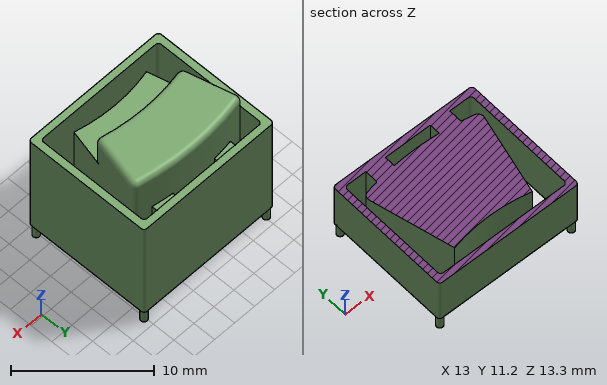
import cadquery as cq
import math

LENGTH = 13.0
WIDTH = 11.2
SIDE_WALL = 0.63
END_WALL = 0.6
HOUSING_CORNER_RADIUS = 0.29
TOTAL_HEIGHT = 13.3
PIN_LENGTH = 1.32
PIN_DIAMETER = 0.6
PIN_INSET = 0.39
HOUSING_TOP = 11.07
HOUSING_HEIGHT = HOUSING_TOP - PIN_LENGTH

RING_CENTER_Y = -18.62
OUTER_RADIUS = 22.82
CAP_INNER_RADIUS = 17.82
STEP_INNER_RADIUS = 15.1
HALF_ANGLE = math.radians(13.9)
STEP_TOP = 10.77
KEY_FILLET = 0.5

TAB_WIDTH = 1.85
TAB_OFFSET = 2.99
TAB_TOP = 9.74


def make_housing():
    outer = (
        cq.Workplane("XY", origin=(0, 0, PIN_LENGTH))
        .rect(LENGTH, WIDTH)
        .extrude(HOUSING_HEIGHT)
        .edges("|Z")
        .fillet(HOUSING_CORNER_RADIUS)
    )
    cavity = (
        cq.Workplane("XY", origin=(0, 0, PIN_LENGTH))
        .rect(LENGTH - 2 * SIDE_WALL, WIDTH - 2 * END_WALL)
        .extrude(HOUSING_HEIGHT)
        .edges("|Z")
        .fillet(HOUSING_CORNER_RADIUS)
    )
    return outer.cut(cavity)


def make_pins():
    return (
        cq.Workplane("XY")
        .rect(LENGTH - 2 * PIN_INSET, WIDTH - 2 * PIN_INSET, forConstruction=True)
        .vertices()
        .circle(PIN_DIAMETER / 2)
        .extrude(PIN_LENGTH)
    )


def ring_point(radius, angle):
    """Point on the key's ring; the angle is measured from +Y toward +X."""
    return radius * math.sin(angle), RING_CENTER_Y + radius * math.cos(angle)


def make_sector(inner_radius, outer_radius, top):
    return (
        cq.Workplane("XY", origin=(0, 0, PIN_LENGTH))
        .moveTo(*ring_point(inner_radius, -HALF_ANGLE))
        .lineTo(*ring_point(outer_radius, -HALF_ANGLE))
        .threePointArc(ring_point(outer_radius, 0), ring_point(outer_radius, HALF_ANGLE))
        .lineTo(*ring_point(inner_radius, HALF_ANGLE))
        .threePointArc(ring_point(inner_radius, 0), ring_point(inner_radius, -HALF_ANGLE))
        .close()
        .extrude(top - PIN_LENGTH)
    )


def make_key():
    cap = make_sector(CAP_INNER_RADIUS, OUTER_RADIUS, TOTAL_HEIGHT)
    cap = cap.edges("|Z or >Z").fillet(KEY_FILLET)
    step = make_sector(STEP_INNER_RADIUS, (CAP_INNER_RADIUS + OUTER_RADIUS) / 2, STEP_TOP)
    return cap.union(step)


def make_tabs():
    wall_middle_y = (WIDTH - END_WALL) / 2
    key_overlap_y = RING_CENTER_Y + OUTER_RADIUS - 2 * KEY_FILLET
    return (
        cq.Workplane("XY", origin=(0, 0, PIN_LENGTH))
        .pushPoints([(side * TAB_OFFSET, (wall_middle_y + key_overlap_y) / 2) for side in (-1, 1)])
        .rect(TAB_WIDTH, wall_middle_y - key_overlap_y)
        .extrude(TAB_TOP - PIN_LENGTH)
    )


result = make_housing().union(make_pins()).union(make_key()).union(make_tabs())